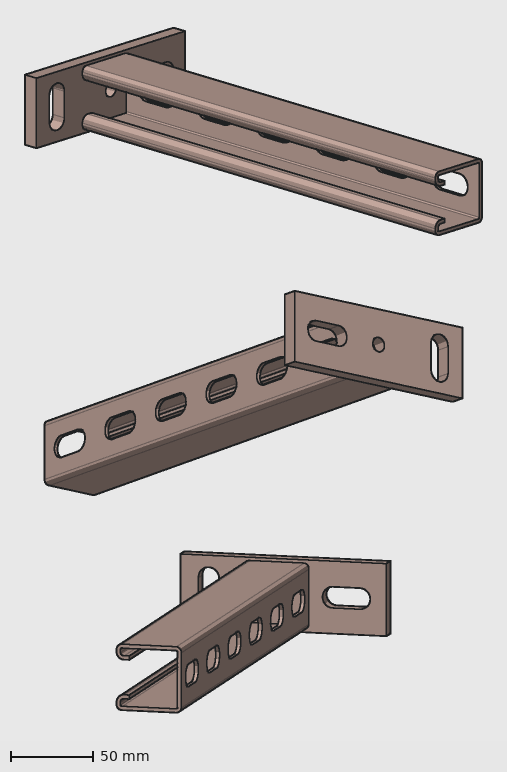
import cadquery as cq

total_length = 310.0

plate_thickness = 10.0
plate_width = 130.0
plate_height = 45.0
plate_slot_length = 30.0
plate_slot_width = 13.0
level_slot_y = 39.7
upright_slot_y = -47.0
plate_hole_diameter = 9.0

channel_size = 41.0
channel_center_y = -4.3
wall = 2.5
corner_radius = 3.5
lip_width = 9.5
lip_depth = 8.0
lip_bend_radius = 4.5
channel_length = total_length - plate_thickness

back_slot_count = 6
back_slot_pitch = channel_length / back_slot_count
back_slot_length = 30.0
back_slot_width = 14.0


def make_plate():
    """Flat plate with a level slot, an upright slot and a central hole."""
    plate = cq.Workplane("YZ").rect(plate_width, plate_height).extrude(plate_thickness)
    level_slot = (
        cq.Workplane("YZ")
        .center(level_slot_y, 0)
        .slot2D(plate_slot_length, plate_slot_width)
        .extrude(plate_thickness)
    )
    upright_slot = (
        cq.Workplane("YZ")
        .center(upright_slot_y, 0)
        .slot2D(plate_slot_length, plate_slot_width, 90)
        .extrude(plate_thickness)
    )
    hole = cq.Workplane("YZ").circle(plate_hole_diameter / 2).extrude(plate_thickness)
    return plate.cut(level_slot).cut(upright_slot).cut(hole)


def make_bar(y_min, y_max, z_min, z_max):
    """Rectangular bar as long as the channel, starting at the plate."""
    return cq.Workplane("XY").box(
        channel_length, y_max - y_min, z_max - z_min, centered=False
    ).translate((plate_thickness, y_min, z_min))


def make_channel_section():
    """C-shaped channel with rounded bends and inward-turned lips."""
    half = channel_size / 2
    front_y = channel_center_y - half
    back_y = channel_center_y + half
    lip_z = half - lip_width

    body = make_bar(front_y, back_y, -half, half).edges("|X").fillet(corner_radius)
    mouth = make_bar(front_y, front_y + lip_depth, -lip_z, lip_z)
    mouth_edges = cq.selectors.BoxSelector(
        (0, front_y - wall / 2, -lip_z - wall / 2),
        (total_length, front_y + wall / 2, lip_z + wall / 2),
    )
    body = body.cut(mouth).edges("|X").edges(mouth_edges).fillet(lip_bend_radius)

    inner = half - wall
    cavity = make_bar(front_y + lip_depth, back_y - wall, -inner, inner)
    cavity = cavity.edges("|X and >Y").fillet(corner_radius - wall)
    body = body.cut(cavity)
    for side in (-1, 1):
        z_ends = sorted((side * (lip_z + wall), side * inner))
        gap = make_bar(front_y + wall, front_y + lip_depth, *z_ends)
        outer_edge = ">Z" if side > 0 else "<Z"
        lip_edge = "<Z" if side > 0 else ">Z"
        gap = gap.edges(f"|X and <Y and {outer_edge}").fillet(corner_radius - wall)
        gap = gap.edges(f"|X and <Y and {lip_edge}").fillet(lip_bend_radius - wall)
        body = body.cut(gap)
    return body


def make_channel():
    """Channel with evenly spaced slots through its back wall."""
    channel = make_channel_section()
    back_y = channel_center_y + channel_size / 2
    for index in range(back_slot_count):
        slot_x = plate_thickness + (index + 0.5) * back_slot_pitch
        slot = (
            cq.Workplane("XZ", origin=(slot_x, back_y, 0))
            .slot2D(back_slot_length, back_slot_width)
            .extrude(wall)
        )
        channel = channel.cut(slot)
    return channel


plate = make_plate()
channel = make_channel()
result = cq.Compound.makeCompound([plate.val(), channel.val()])